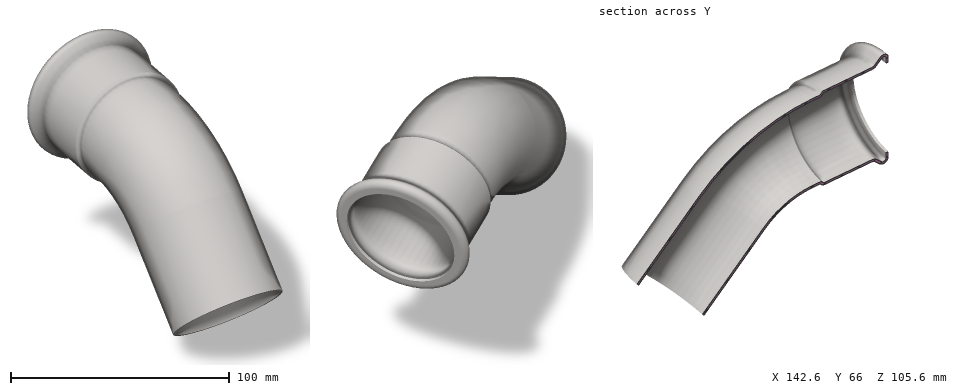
import cadquery as cq
import math


wall = 1.5
tube_radius = 27.0

bend_angle = 45.0
bend_radius = 64.8
bend_start_x = 43.15
spigot_length = 48.87

bead_outer_radius = 33.0
bead_round_radius = 2.9
blend_radius = 2.4
lip_radius = 26.9

socket_clearance = 0.1
socket_radius = tube_radius + socket_clearance + wall
step_end_x = 38.8
step_start_x = step_end_x - (socket_radius - tube_radius)

slope = math.radians(45)
bead_center_radius = bead_outer_radius - bead_round_radius
blend_center_radius = socket_radius + blend_radius
round_drop = bead_center_radius - blend_center_radius
blend_center_x = bead_round_radius + round_drop + (bead_round_radius + blend_radius) / math.sin(slope)


def point_on_round(center_x, center_radius, radius, angle):
    """Point (x, r) on a round at an angle measured from the +X direction."""
    return (center_x + radius * math.cos(angle), center_radius + radius * math.sin(angle))


def bead_round(inset):
    """Start, middle and end of the bead's round, from the front face to the slope."""
    radius = bead_round_radius - inset
    angles = (math.pi, (math.pi + slope) / 2, slope)
    return [point_on_round(bead_round_radius, bead_center_radius, radius, a) for a in angles]


def blend_round(inset):
    """Start, middle and end of the blend from the slope into the socket."""
    radius = blend_radius + inset
    angles = (math.pi + slope, math.pi + (slope + math.pi / 2) / 2, 1.5 * math.pi)
    return [point_on_round(blend_center_x, blend_center_radius, radius, a) for a in angles]


def step_points(inset):
    """Both corners of the step from the socket down to the tube."""
    corner_shift = inset * math.tan(slope / 2)
    return [
        (step_start_x - corner_shift, socket_radius - inset),
        (step_end_x - corner_shift, tube_radius - inset),
    ]


def make_socket():
    """Formed sheet profile, turned about the X axis."""
    outer_bead = bead_round(0)
    outer_blend = blend_round(0)
    outer_step = step_points(0)
    inner_bead = bead_round(wall)
    inner_blend = blend_round(wall)
    inner_step = step_points(wall)
    profile = (
        cq.Workplane("XZ")
        .moveTo(0, lip_radius)
        .lineTo(*outer_bead[0])
        .threePointArc(outer_bead[1], outer_bead[2])
        .lineTo(*outer_blend[0])
        .threePointArc(outer_blend[1], outer_blend[2])
        .lineTo(*outer_step[0])
        .lineTo(*outer_step[1])
        .lineTo(bend_start_x, tube_radius)
        .lineTo(bend_start_x, tube_radius - wall)
        .lineTo(*inner_step[1])
        .lineTo(*inner_step[0])
        .lineTo(*inner_blend[2])
        .threePointArc(inner_blend[1], inner_blend[0])
        .lineTo(*inner_bead[2])
        .threePointArc(inner_bead[1], inner_bead[0])
        .lineTo(wall, lip_radius)
        .close()
    )
    return profile.revolve(360, (0, 0, 0), (1, 0, 0))


def tube_section(plane):
    """Ring-shaped cross-section of the tube on the given plane."""
    return cq.Workplane(plane).circle(tube_radius).circle(tube_radius - wall)


def make_bend():
    """Tube section swung about a Y-parallel axis below the socket axis."""
    start = cq.Plane(origin=(bend_start_x, 0, 0), xDir=(0, 1, 0), normal=(1, 0, 0))
    return tube_section(start).revolve(bend_angle, (0, -bend_radius), (1, -bend_radius))


def make_spigot():
    """Straight tube leaving the end of the bend."""
    angle = math.radians(bend_angle)
    end_x = bend_start_x + bend_radius * math.sin(angle)
    end_z = -bend_radius * (1 - math.cos(angle))
    direction = (math.cos(angle), 0, -math.sin(angle))
    end = cq.Plane(origin=(end_x, 0, end_z), xDir=(0, 1, 0), normal=direction)
    return tube_section(end).extrude(spigot_length)


result = make_socket().union(make_bend()).union(make_spigot())